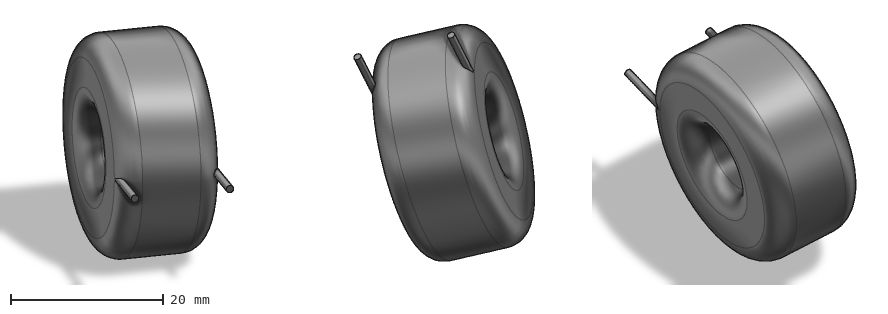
import cadquery as cq

overall_length = 35.0
ring_diameter = 30.0
ring_width = 14.0
bore_diameter = 10.0
edge_radius = 3.0
lead_diameter = 1.0

ring_radius = ring_diameter / 2
lead_end = overall_length - ring_radius
lead_start = ring_radius - edge_radius
lead_offset = (ring_width - lead_diameter) / 2


def make_ring():
    """Ring with all four bore and rim edges rounded."""
    return (
        cq.Workplane("XZ", origin=(0, ring_width / 2, 0))
        .circle(ring_radius)
        .circle(bore_diameter / 2)
        .extrude(ring_width)
        .faces("<Y or >Y")
        .edges()
        .fillet(edge_radius)
    )


def make_lead(y):
    """Straight round lead leaving the rounded rim along +X."""
    return (
        cq.Workplane("YZ", origin=(lead_start, y, 0))
        .circle(lead_diameter / 2)
        .extrude(lead_end - lead_start)
    )


result = make_ring()
for lead_y in (-lead_offset, lead_offset):
    result = result.union(make_lead(lead_y))